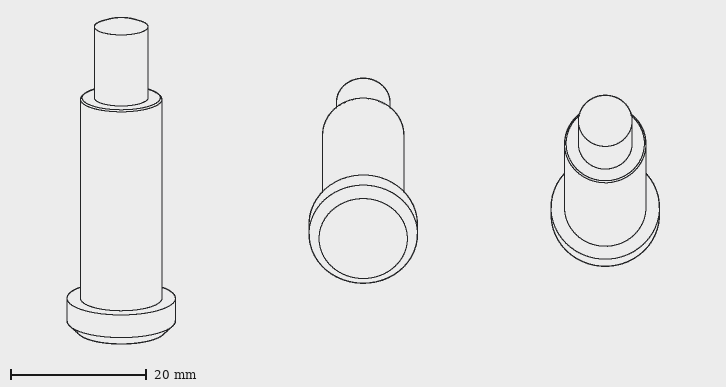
import cadquery as cq

total_height = 48.0

head_diameter = 16.0
head_height = 5.0
head_chamfer = 1.5

body_diameter = 12.0
body_top = 36.0
body_chamfer = 0.25

plunger_diameter = 7.9
dome_height = 1.0


def make_head():
    head = cq.Workplane("XY").circle(head_diameter / 2).extrude(head_height)
    return head.faces("<Z").chamfer(head_chamfer)


def make_body():
    body = cq.Workplane("XY").workplane(offset=head_height)
    body = body.circle(body_diameter / 2).extrude(body_top - head_height)
    return body.faces(">Z").chamfer(body_chamfer)


def make_plunger():
    """Revolve a pin whose end is a shallow spherical cap."""
    radius = plunger_diameter / 2
    dome_base = total_height - dome_height
    sphere_radius = (radius**2 + dome_height**2) / (2 * dome_height)
    sphere_center = total_height - sphere_radius
    mid_radius = radius / 2
    mid_height = sphere_center + (sphere_radius**2 - mid_radius**2) ** 0.5
    profile = (
        cq.Workplane("XZ")
        .moveTo(0, body_top)
        .lineTo(radius, body_top)
        .lineTo(radius, dome_base)
        .threePointArc((mid_radius, mid_height), (0, total_height))
        .close()
    )
    return profile.revolve(360, (0, 0, 0), (0, 1, 0))


result = make_head().union(make_body()).union(make_plunger())